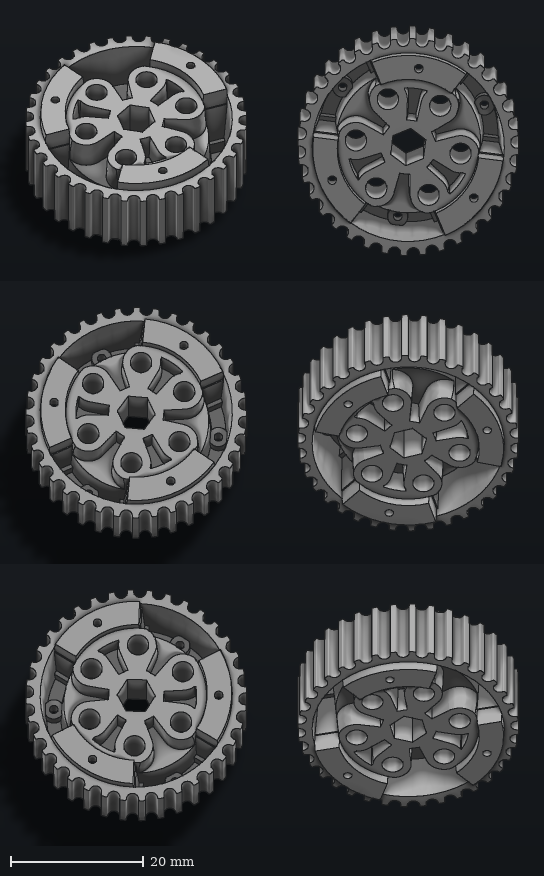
import cadquery as cq
import math

RIM_HEIGHT = 10.2
TOOTH_COUNT = 36
OUTER_SIZE = 33.44
GROOVE_RADIUS = 0.93
GROOVE_ROOT_RADIUS = 15.56
TOOTH_ROUNDING = 0.22
ROUNDING_CENTRE_X = OUTER_SIZE / 2 - TOOTH_ROUNDING
ROUNDING_CENTRE_Y = GROOVE_RADIUS + TOOTH_ROUNDING
TIP_RADIUS = math.hypot(ROUNDING_CENTRE_X, ROUNDING_CENTRE_Y) + TOOTH_ROUNDING

TOTAL_HEIGHT = 13.2
SECTOR_COUNT = 6
SECTOR_ANGLE = 360 / SECTOR_COUNT
TAB_INNER_RADIUS = 10.66
TAB_OUTER_RADIUS = 14.56
TAB_DRAFT = 0.1
TAB_CLEARANCE = 0.5

SLOT_FLOOR_THICKNESS = 1.0
SLOT_FLOOR_INNER_RADIUS = 11.45
SLOT_FLOOR_OUTER_RADIUS = 13.6
LEDGE_LEVEL = 3.5
LEDGE_ABOVE_END = 0.17
LEDGE_BELOW_END = 0.35
SHELF_END = 0.82
FLOOR_END = 1.46
SCREW_CIRCLE_RADIUS = 12.5
SCREW_HOLE_DIAMETER = 1.25
SCREW_BOSS_DIAMETER = 3.05

HEX_SIDES = 6
HEX_ACROSS_FLATS = 5.0
HUB_HOLE_CIRCLE_RADIUS = 8.0
HUB_HOLE_DIAMETER = 3.2
WEB_THICKNESS = 1.4
HUB_CUT_INNER_RADIUS = 4.16
HUB_CUT_HALF_WIDTH = 0.78
HUB_CUT_DRAFT = 0.2

RECESS_LOBE_RADIUS = 2.8
RECESS_LOBE_END = 15
RECESS_OUTER_RADIUS = 11.3
POCKET_LOBE_RADIUS = 2.95
POCKET_LOBE_END = -51
POCKET_OUTER_RADIUS = 9.15
LONG_POCKET_LOBE_END = -47
LONG_POCKET_OUTER_RADIUS = 9.6
LONG_POCKET_OUTER_DRAFT = 0.3

RIM_TOP = RIM_HEIGHT / 2
TAB_TOP = TOTAL_HEIGHT / 2
SHELF_LEVEL = -LEDGE_LEVEL
SLOT_FLOOR = SLOT_FLOOR_THICKNESS - TAB_TOP
WEB_TOP = WEB_THICKNESS / 2

SLOT_ANGLES = (30, 150, 270)
POCKET_ANGLES = (90, 330)
LONG_POCKET_ANGLE = 210


def polar(radius, angle, centre=(0, 0)):
    """Point at a radius and an angle in degrees about a centre."""
    return (
        centre[0] + radius * math.cos(math.radians(angle)),
        centre[1] + radius * math.sin(math.radians(angle)),
    )


def direction(point, centre=(0, 0)):
    """Angle in degrees at which a point is seen from a centre."""
    return math.degrees(math.atan2(point[1] - centre[1], point[0] - centre[0]))


def mirrored(point):
    """Point on the other side of the X axis."""
    return (point[0], -point[1])


def turned(shape, angle):
    """Shape turned about the wheel axis."""
    return shape.rotate((0, 0, 0), (0, 0, 1), angle)


def flipped(shape):
    """Shape turned over, from the upper side of the wheel to the lower."""
    return shape.rotate((0, 0, 0), (1, 0, 0), 180)


def turned_point(point, angle):
    """Point turned about the wheel axis."""
    return polar(math.hypot(*point), direction(point) + angle)


def toothed_rim():
    """Full disc edged with round-bottomed belt grooves between rounded teeth."""
    pitch_angle = 360 / TOOTH_COUNT
    groove_centre = GROOVE_ROOT_RADIUS + GROOVE_RADIUS
    rounding_centre = (ROUNDING_CENTRE_X, ROUNDING_CENTRE_Y)
    side_start = (groove_centre, GROOVE_RADIUS)
    side_end = (ROUNDING_CENTRE_X, GROOVE_RADIUS)
    tip_angle = direction(rounding_centre)
    rounding_middle = polar(TOOTH_ROUNDING, (tip_angle - 90) / 2, rounding_centre)
    tip = polar(TIP_RADIUS, tip_angle)
    tip_middle = polar(TIP_RADIUS, pitch_angle / 2)

    outline = cq.Workplane().moveTo(*mirrored(side_start))
    for i in range(TOOTH_COUNT):
        turn = i * pitch_angle
        next_turn = turn + pitch_angle
        groove_root = turned_point((GROOVE_ROOT_RADIUS, 0), turn)
        outline = outline.threePointArc(groove_root, turned_point(side_start, turn))
        outline = outline.lineTo(*turned_point(side_end, turn))
        outline = outline.threePointArc(turned_point(rounding_middle, turn), turned_point(tip, turn))
        far_tip = turned_point(mirrored(tip), next_turn)
        far_rounding = turned_point(mirrored(rounding_middle), next_turn)
        far_side = turned_point(mirrored(side_end), next_turn)
        outline = outline.threePointArc(turned_point(tip_middle, turn), far_tip)
        outline = outline.threePointArc(far_rounding, far_side)
        if i < TOOTH_COUNT - 1:
            outline = outline.lineTo(*turned_point(mirrored(side_start), next_turn))
    return outline.close().extrude(RIM_TOP, both=True)


def tab_ring():
    """Complete drafted ring on the rim; the slots divide it into tabs."""
    return (
        cq.Workplane("XZ")
        .polyline([
            (TAB_INNER_RADIUS, RIM_TOP),
            (TAB_OUTER_RADIUS, RIM_TOP),
            (TAB_OUTER_RADIUS - TAB_DRAFT, TAB_TOP),
            (TAB_INNER_RADIUS + TAB_DRAFT, TAB_TOP),
        ])
        .close()
        .revolve(360, (0, 0), (0, 1))
    )


def slot_end():
    """Stepped wall that fills the slot along the sector border on the XZ plane."""
    return (
        cq.Workplane("YZ")
        .polyline([
            (0, TAB_TOP),
            (LEDGE_ABOVE_END, LEDGE_LEVEL),
            (LEDGE_BELOW_END, LEDGE_LEVEL),
            (SHELF_END, SHELF_LEVEL),
            (FLOOR_END, SHELF_LEVEL),
            (FLOOR_END, SLOT_FLOOR),
            (0, SLOT_FLOOR),
        ])
        .close()
        .extrude(TIP_RADIUS)
    )


def slot_cutter():
    """Gap between two tabs and the tapered slot below it, centred on +X."""
    half_angle = SECTOR_ANGLE / 2
    gap_inner = TAB_INNER_RADIUS - TAB_CLEARANCE
    gap_outer = TAB_OUTER_RADIUS + TAB_CLEARANCE
    sector = (
        cq.Workplane("XZ")
        .polyline([
            (SLOT_FLOOR_INNER_RADIUS, SLOT_FLOOR),
            (SLOT_FLOOR_OUTER_RADIUS, SLOT_FLOOR),
            (TAB_OUTER_RADIUS, RIM_TOP),
            (gap_outer, RIM_TOP),
            (gap_outer, TAB_TOP),
            (gap_inner, TAB_TOP),
            (gap_inner, RIM_TOP),
            (TAB_INNER_RADIUS, RIM_TOP),
        ])
        .close()
        .revolve(SECTOR_ANGLE, (0, 0), (0, -1))
    )
    sector = turned(sector, half_angle)
    first_end = turned(slot_end(), -half_angle)
    second_end = first_end.mirror("XZ")
    boss = (
        cq.Workplane(origin=(SCREW_CIRCLE_RADIUS, 0, SLOT_FLOOR))
        .circle(SCREW_BOSS_DIAMETER / 2)
        .extrude(SHELF_LEVEL - SLOT_FLOOR)
    )
    return sector.cut(first_end).cut(second_end).cut(boss)


def hub_outline(level, inset, lobe_radius, lobe_end, outer_radius):
    """Closed wire about +X, narrow at its inner end and flaring around two lobes."""
    hole = polar(HUB_HOLE_CIRCLE_RADIUS, SECTOR_ANGLE / 2)
    radius = lobe_radius + inset
    inner = (HUB_CUT_INNER_RADIUS + inset, HUB_CUT_HALF_WIDTH - inset)
    spread = math.degrees(math.acos(radius / math.dist(inner, hole)))
    touch_angle = direction(inner, hole) + spread
    touch = polar(radius, touch_angle, hole)
    lobe_middle = polar(radius, (touch_angle + lobe_end) / 2, hole)
    lobe_stop = polar(radius, lobe_end, hole)
    corner = polar(outer_radius, direction(lobe_stop))
    return (
        cq.Workplane(origin=(0, 0, level))
        .moveTo(*mirrored(inner))
        .lineTo(*inner)
        .lineTo(*touch)
        .threePointArc(lobe_middle, lobe_stop)
        .lineTo(*corner)
        .threePointArc((outer_radius, 0), mirrored(corner))
        .lineTo(*mirrored(lobe_stop))
        .threePointArc(mirrored(lobe_middle), mirrored(touch))
        .close()
        .val()
    )


def hub_cutter(lobe_radius, lobe_end, outer_radius, outer_draft=0):
    """Drafted hub cut from the web up to the rim level."""
    floor = hub_outline(WEB_TOP, HUB_CUT_DRAFT, lobe_radius, lobe_end, outer_radius - outer_draft)
    mouth = hub_outline(RIM_TOP, 0, lobe_radius, lobe_end, outer_radius)
    return cq.Workplane(cq.Solid.makeLoft([floor, mouth], True))


def hole_circle(circle_radius, start_angle, diameter):
    """Through holes on a circle about the wheel axis, one per sector."""
    return (
        cq.Workplane()
        .polarArray(circle_radius, start_angle, 360, SECTOR_COUNT)
        .circle(diameter / 2)
        .extrude(TAB_TOP, both=True)
    )


def hex_bore():
    """Hexagonal bore with two flats square to the X axis."""
    half_side_angle = 180 / HEX_SIDES
    across_corners = HEX_ACROSS_FLATS / math.cos(math.radians(half_side_angle))
    bore = cq.Workplane().polygon(HEX_SIDES, across_corners).extrude(TAB_TOP, both=True)
    return turned(bore, half_side_angle)


slot = slot_cutter()
recess = hub_cutter(RECESS_LOBE_RADIUS, RECESS_LOBE_END, RECESS_OUTER_RADIUS)
pocket = hub_cutter(POCKET_LOBE_RADIUS, POCKET_LOBE_END, POCKET_OUTER_RADIUS)
long_pocket = hub_cutter(
    POCKET_LOBE_RADIUS, LONG_POCKET_LOBE_END, LONG_POCKET_OUTER_RADIUS, LONG_POCKET_OUTER_DRAFT
)

upper_cutters = [turned(slot, angle) for angle in SLOT_ANGLES]
upper_cutters += [turned(recess, angle) for angle in SLOT_ANGLES]
upper_cutters += [turned(pocket, angle) for angle in POCKET_ANGLES]
upper_cutters.append(turned(long_pocket, LONG_POCKET_ANGLE))

wheel = toothed_rim().union(tab_ring()).union(flipped(tab_ring()))
for cutter in upper_cutters:
    wheel = wheel.cut(cutter).cut(flipped(cutter))

wheel = wheel.cut(hex_bore())
wheel = wheel.cut(hole_circle(HUB_HOLE_CIRCLE_RADIUS, 0, HUB_HOLE_DIAMETER))
result = wheel.cut(hole_circle(SCREW_CIRCLE_RADIUS, SECTOR_ANGLE / 2, SCREW_HOLE_DIAMETER))